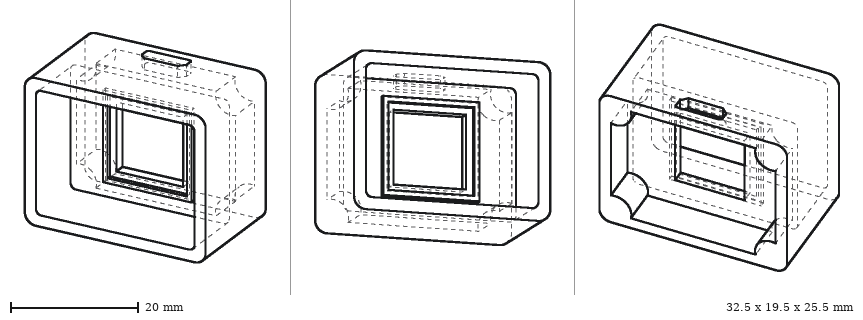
import cadquery as cq

WIDTH = 32.5
DEPTH = 19.5
HEIGHT = 25.5
WALL = 2.0
OUTER_RADIUS = 2.0
INNER_RADIUS = 1.0

PARTITION_FRONT = 1.5
PARTITION_THICKNESS = 2.0
WINDOW_SIZE = 12.0
RIM_INNER_SIZE = 14.2
RIM_WIDTH = 0.85
RIM_HEIGHT = 0.85
RECESS_DEPTH = 0.8

POST_RADIUS = 2.8
POST_INSET = 2.75

SLOT_LENGTH = 8.0
SLOT_WIDTH = 2.8
SLOT_REAR_MARGIN = 1.85
SLOT_CORNER_RADIUS = 0.5
SLOT_CHAMFER = 1.0

BACK = DEPTH / 2
PARTITION_BACK = PARTITION_FRONT + PARTITION_THICKNESS
INNER_WIDTH = WIDTH - 2 * WALL
INNER_HEIGHT = HEIGHT - 2 * WALL
RIM_OUTER_SIZE = RIM_INNER_SIZE + 2 * RIM_WIDTH


def bar(width, height, y_start, y_end):
    """Rectangular bar along Y, centred on the Y axis."""
    length = y_end - y_start
    return cq.Workplane("XY").box(width, length, height).translate((0, (y_start + y_end) / 2, 0))


def rounded_bar(width, height, y_start, y_end, radius):
    """Bar along Y with its four long edges rounded."""
    return bar(width, height, y_start, y_end).edges("|Y").fillet(radius)


def make_tube():
    outside = rounded_bar(WIDTH, HEIGHT, -BACK, BACK, OUTER_RADIUS)
    front_chamber = rounded_bar(INNER_WIDTH, INNER_HEIGHT, -BACK, PARTITION_FRONT, INNER_RADIUS)
    rear_chamber = rounded_bar(INNER_WIDTH, INNER_HEIGHT, PARTITION_BACK, BACK, INNER_RADIUS)
    return outside.cut(front_chamber).cut(rear_chamber)


def make_rim():
    """Square pad standing on the partition, recessed inside its rim."""
    tip = PARTITION_FRONT - RIM_HEIGHT
    pad = bar(RIM_OUTER_SIZE, RIM_OUTER_SIZE, tip, PARTITION_FRONT)
    return pad.cut(bar(RIM_INNER_SIZE, RIM_INNER_SIZE, tip, tip + RECESS_DEPTH))


def make_posts():
    """Four corner posts from the partition to the rear face, kept within the tube outline."""
    posts = (
        cq.Workplane("XZ", origin=(0, BACK, 0))
        .rect(WIDTH - 2 * POST_INSET, HEIGHT - 2 * POST_INSET, forConstruction=True)
        .vertices()
        .circle(POST_RADIUS)
        .extrude(BACK - PARTITION_BACK)
    )
    return posts.intersect(rounded_bar(WIDTH, HEIGHT, PARTITION_BACK, BACK, OUTER_RADIUS))


def make_slot():
    """Cutter with rounded rear corners and chamfered front corners."""
    centre_y = BACK - SLOT_REAR_MARGIN - SLOT_WIDTH / 2
    slot = (
        cq.Workplane("XY", origin=(0, centre_y, HEIGHT / 2 - WALL))
        .rect(SLOT_LENGTH, SLOT_WIDTH)
        .extrude(WALL)
    )
    slot = slot.faces(">Y").edges("|Z").fillet(SLOT_CORNER_RADIUS)
    return slot.faces("<Y").edges("|Z").chamfer(SLOT_CHAMFER)


body = make_tube().union(make_rim()).union(make_posts())
window = bar(WINDOW_SIZE, WINDOW_SIZE, PARTITION_FRONT - RIM_HEIGHT, PARTITION_BACK)
result = body.cut(window).cut(make_slot())